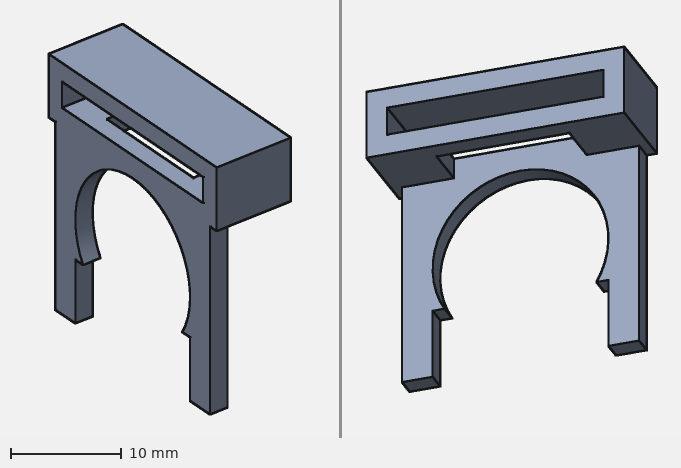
import cadquery as cq

height = 26.7
head_width = 24.9
head_depth = 8.5
head_height = 6.75
wall = 2.0
shoulder = 1.0
arch_radius = 8.5
arch_center_z = 11.03
ledge_z = 6.75
window_inset = 4.03

plate_width = head_width - 2 * shoulder
head_bottom = height - head_height
slot_width = head_width - 2 * wall
slot_height = head_height - 2 * wall
window_width = slot_width - 2 * window_inset
window_depth = head_depth - 2 * wall


def block(width, depth, block_height, front_y, bottom_z):
    """Box centered on X, extending back from front_y and up from bottom_z."""
    return (
        cq.Workplane("XY")
        .box(width, depth, block_height, centered=(True, False, False))
        .translate((0, front_y, bottom_z))
    )


head = block(head_width, head_depth, head_height, 0, head_bottom)
plate = block(plate_width, wall, height, 0, 0)

slot = block(slot_width, head_depth, slot_height, 0, head_bottom + wall)

window = block(window_width, window_depth, wall, wall, head_bottom)

arch = (
    cq.Workplane("XZ")
    .center(0, arch_center_z)
    .circle(arch_radius)
    .extrude(-wall)
    .intersect(block(plate_width, wall, height, 0, ledge_z))
)
leg_gap = block(2 * arch_radius, wall, ledge_z, 0, 0)

result = head.union(plate).cut(slot).cut(window).cut(arch).cut(leg_gap)